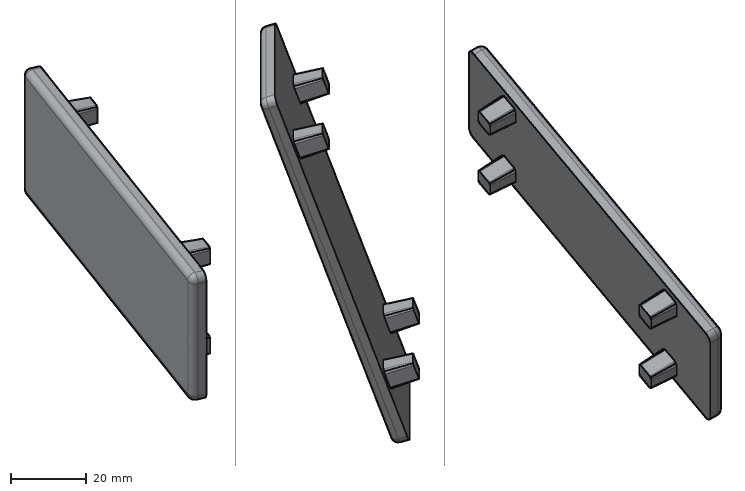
import cadquery as cq

plate_length = 113.0
plate_height = 40.0
plate_thickness = 4.5
corner_radius = 2.3
rim_radius = 2.0

total_depth = 12.5
peg_length = total_depth - plate_thickness
rib_root_width = 6.5
rib_root_thickness = 5.3
rib_tip_width = 5.5
rib_tip_thickness = 5.1
rib_edge_radius = 0.5
peg_spacing_x = 75.5
peg_spacing_z = 28.2


def make_plate():
    """Plate with its back face on Y = 0, round corners and a rounded front rim."""
    plate = cq.Workplane("XY").box(plate_length, plate_thickness, plate_height)
    plate = plate.translate((0, -plate_thickness / 2, 0))
    plate = plate.edges("|Y").fillet(corner_radius)
    return plate.faces("<Y").edges().fillet(rim_radius)


def rounded_rectangle(width, thickness):
    """Cross-section of a rib."""
    return cq.Sketch().rect(width, thickness).vertices().fillet(rib_edge_radius)


def make_rib():
    """Rib with its width along X, rising from Y = 0 toward +Y and narrowing to its tip."""
    root = rounded_rectangle(rib_root_width, rib_root_thickness)
    tip = rounded_rectangle(rib_tip_width, rib_tip_thickness)
    raised_tip = tip.moved(cq.Location(cq.Vector(0, 0, -peg_length)))
    return cq.Workplane("XZ").placeSketch(root, raised_tip).loft()


def make_peg():
    """Two equal ribs crossed at a right angle about the Y axis."""
    rib = make_rib()
    return rib.union(rib.rotate((0, 0, 0), (0, 1, 0), 90))


result = make_plate()
peg = make_peg()
for side_x in (-1, 1):
    for side_z in (-1, 1):
        position = (side_x * peg_spacing_x / 2, 0, side_z * peg_spacing_z / 2)
        result = result.union(peg.translate(position))